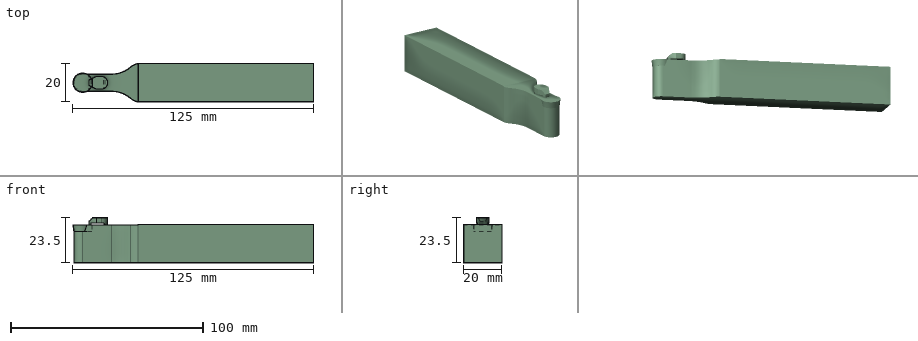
import cadquery as cq
import math

overall_length = 125.0
shank_width = 20.0
shank_height = 20.0

insert_radius = 5.0
insert_thickness = 3.5
insert_clearance_angle = 7.0
insert_bottom_radius = insert_radius - insert_thickness * math.tan(math.radians(insert_clearance_angle))

neck_half_width = 4.5
flare_start_x = 15.1
hollow_radius = 15.0
hollow_angle = 41.0
shank_start_x = 28.7

step_depth = 0.3

clamp_height = 3.5
clamp_half_width = 3.3
clamp_nose_x = 3.2
clamp_nose_half_width = 1.35
clamp_nose_height = 1.45
clamp_slope_end_x = clamp_nose_x + clamp_height - clamp_nose_height
clamp_side_start_x = 7.1
clamp_round_center_x = 9.7
clamp_round_end_x = clamp_round_center_x + clamp_half_width

relief_start_x = 4.4
relief_end_x = 10.9
relief_height = 0.7


def make_insert():
    """Tapered disc with its top face level with the top of the neck."""
    return (
        cq.Workplane("XZ", origin=(0, 0, -step_depth))
        .lineTo(insert_radius, 0)
        .lineTo(insert_bottom_radius, -insert_thickness)
        .lineTo(0, -insert_thickness)
        .close()
        .revolve(360, (0, 0), (0, 1))
    )


def hollow_point(angle):
    """Point on the hollow arc of the flare, at an angle in degrees from its start."""
    turn = math.radians(angle)
    x = flare_start_x + hollow_radius * math.sin(turn)
    y = neck_half_width + hollow_radius * (1 - math.cos(turn))
    return x, y


def make_bar():
    """Shank and flared neck, extruded down from the top face and mirrored across the XZ plane."""
    half_width = shank_width / 2
    back_x = overall_length - insert_radius

    hollow_mid = hollow_point(hollow_angle / 2)
    hollow_end = hollow_point(hollow_angle)
    half = (
        cq.Workplane("XY")
        .moveTo(-neck_half_width, 0)
        .radiusArc((0, neck_half_width), neck_half_width)
        .lineTo(flare_start_x, neck_half_width)
        .threePointArc(hollow_mid, hollow_end)
        .tangentArcPoint((shank_start_x, half_width), relative=False)
        .lineTo(back_x, half_width)
        .lineTo(back_x, 0)
        .close()
        .extrude(-shank_height)
    )
    return half.union(half.mirror("XZ"))


def make_clamp():
    """Clamp with a tapered, sloping nose, a round heel and a relieved underside."""
    plan = (
        cq.Workplane("XY", origin=(0, 0, -step_depth))
        .moveTo(clamp_nose_x, -clamp_nose_half_width)
        .lineTo(clamp_side_start_x, -clamp_half_width)
        .lineTo(clamp_round_center_x, -clamp_half_width)
        .threePointArc((clamp_round_end_x, 0), (clamp_round_center_x, clamp_half_width))
        .lineTo(clamp_side_start_x, clamp_half_width)
        .lineTo(clamp_nose_x, clamp_nose_half_width)
        .close()
        .extrude(clamp_height + step_depth)
    )
    profile = (
        cq.Workplane("XZ")
        .moveTo(clamp_nose_x, -step_depth)
        .lineTo(clamp_nose_x, clamp_nose_height)
        .lineTo(clamp_slope_end_x, clamp_height)
        .lineTo(clamp_round_end_x, clamp_height)
        .lineTo(clamp_round_end_x, -step_depth)
        .lineTo(relief_end_x + relief_height, -step_depth)
        .lineTo(relief_end_x, relief_height)
        .lineTo(relief_start_x, relief_height)
        .lineTo(relief_start_x, -step_depth)
        .close()
        .extrude(clamp_half_width, both=True)
    )
    return plan.intersect(profile)


def make_step():
    """Material taken off the top of the neck, ending in the ramp."""
    return (
        cq.Workplane("XZ")
        .moveTo(-insert_radius, 0)
        .lineTo(shank_start_x + step_depth, 0)
        .lineTo(shank_start_x, -step_depth)
        .lineTo(-insert_radius, -step_depth)
        .close()
        .extrude(shank_width / 2, both=True)
    )


insert = make_insert()
holder = make_bar().cut(make_step()).cut(insert).union(make_clamp())

result = cq.Compound.makeCompound([holder.val(), insert.val()])